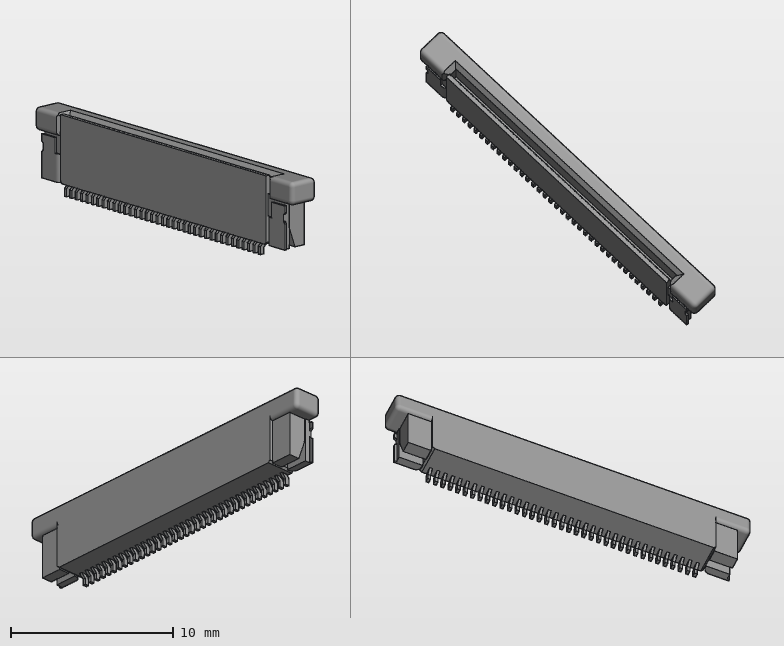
import cadquery as cq
import math


body_half_width = 9.55
body_height = 4.4
depth = 1.99
plate_thickness = 0.29
corner_nick = 0.15

cap_half_length = 11.96
cap_height = 1.45
cap_round = 0.29
cap_bottom = body_height - cap_height

slot_back = 0.85
slot_floor_depth = 1.72
floor_front = 0.6
mouth_chamfer = 0.35
mouth_back_chamfer = 0.29

wing_half_length = 11.1
wing_back = 1.77
wing_relief_run = 0.5
wing_relief_height = 1.39
rib_half_length = 11.15
rib_back = 0.5

tab_half_length = 11.3
tab_thickness = 0.15
tab_height = 2.82
tab_bend_height = 1.82
tab_bend_radius = 0.4
tab_relief_gap = 0.1
notch_depth = 0.15
notch_width = 0.72
notch_height = 2.03

contact_count = 37
contact_span = 18.0
contact_width = 0.2
contact_pitch = contact_span / (contact_count - 1)
tip_thickness = 0.07
tip_height = 0.25
pin_drop = 0.72
foot_front = -0.07
foot_back = 0.22
pin_root_front = 0.15
pin_root_back = 0.53

top_in_cap = cap_bottom + cap_round
bend_start = body_half_width + tab_bend_radius
slot_floor = body_height - slot_floor_depth


def block(x_range, y_range, z_range):
    """Box between the given limits on each axis."""
    low, high = zip(x_range, y_range, z_range)
    size = [b - a for a, b in zip(low, high)]
    return cq.Workplane("XY").box(*size, centered=False).translate(low)


def centered_block(half_length, y_range, z_range):
    return block((-half_length, half_length), y_range, z_range)


def side_prism(points, half_length):
    """Prism along X, symmetric about X = 0, from a profile of (y, z) points."""
    return cq.Workplane("YZ").polyline(points).close().extrude(half_length, both=True)


def both_ends(shape):
    """The shape together with its mirror image at the other end."""
    return shape.union(shape.mirror("YZ"))


def make_mouth():
    """Sloped entry of the slot: a funnel, the overlap of one trough along X and one along Y."""
    mouth_half_length = body_half_width + mouth_chamfer
    mouth_bottom = body_height - mouth_chamfer
    back_trough = side_prism(
        [
            (0, body_height),
            (slot_back + mouth_back_chamfer, body_height),
            (slot_back, body_height - mouth_back_chamfer),
            (slot_back, mouth_bottom),
            (0, mouth_bottom),
        ],
        mouth_half_length,
    )
    end_trough = (
        cq.Workplane("XZ")
        .polyline([
            (-mouth_half_length, body_height),
            (mouth_half_length, body_height),
            (body_half_width, mouth_bottom),
            (-body_half_width, mouth_bottom),
        ])
        .close()
        .extrude(-depth)
    )
    return back_trough.intersect(end_trough)


def make_front_bevel():
    """Bevel on the upright front edge of the cap, next to the front plate."""
    bevel = (
        cq.Workplane("XY", origin=(0, 0, cap_bottom))
        .polyline([
            (body_half_width, 0),
            (body_half_width + mouth_chamfer, 0),
            (body_half_width, mouth_chamfer),
        ])
        .close()
        .extrude(cap_height)
    )
    return both_ends(bevel)


def make_cap():
    cap = centered_block(cap_half_length, (0, depth), (cap_bottom, body_height)).edges().fillet(cap_round)
    return cap.cut(make_mouth()).cut(make_front_bevel())


def make_core():
    """Middle block; its front is the plate that closes the slot."""
    core = centered_block(body_half_width, (0, slot_back), (0, body_height))
    lower_back = centered_block(body_half_width, (0, depth), (0, top_in_cap))
    return core.union(lower_back)


def make_corner_nicks():
    """Small nicks through the underside, along the lower corners of the front plate."""
    nick = (
        cq.Workplane("XZ")
        .polyline([
            (body_half_width, 0),
            (body_half_width, corner_nick),
            (body_half_width - corner_nick, 0),
        ])
        .close()
        .extrude(-depth)
    )
    return both_ends(nick)


def make_slot():
    """Slot that narrows downwards along the sloped back of the front plate."""
    return side_prism(
        [
            (plate_thickness, body_height),
            (slot_back, body_height),
            (slot_back, slot_floor),
            (floor_front, slot_floor),
        ],
        body_half_width,
    )


def make_wings():
    """End wings with a slanted relief behind the front rib, and a corner cleared for the tab bend."""
    wings = centered_block(wing_half_length, (rib_back, wing_back), (0, top_in_cap))
    relief = side_prism(
        [(rib_back, 0), (rib_back + wing_relief_run, 0), (rib_back, wing_relief_height)],
        wing_half_length,
    )
    rib = centered_block(rib_half_length, (tab_thickness, rib_back), (0, top_in_cap))
    bend_corner = block((body_half_width, bend_start), (0, tab_bend_radius), (0, tab_bend_height))
    return wings.cut(relief).union(rib).cut(both_ends(bend_corner))


def make_tabs():
    """Flat tabs with a notch in the outer edge, curling back into the housing at the lower part."""
    notch_half = notch_width / 2
    tab = (
        cq.Workplane("XZ")
        .moveTo(bend_start, 0)
        .lineTo(tab_half_length, 0)
        .lineTo(tab_half_length, notch_height - notch_half)
        .lineTo(tab_half_length - notch_depth, notch_height - notch_half + notch_depth)
        .lineTo(tab_half_length - notch_depth, notch_height + notch_half - notch_depth)
        .lineTo(tab_half_length, notch_height + notch_half)
        .lineTo(tab_half_length, tab_height)
        .lineTo(bend_start + tab_relief_gap, tab_height)
        .lineTo(bend_start + tab_relief_gap, tab_bend_height)
        .lineTo(bend_start, tab_bend_height)
        .close()
        .extrude(-tab_thickness)
    )
    diagonal = tab_bend_radius * math.sqrt(0.5)
    bend = (
        cq.Workplane("XY")
        .moveTo(bend_start, tab_bend_radius)
        .lineTo(bend_start, 0)
        .threePointArc(
            (bend_start - diagonal, tab_bend_radius - diagonal),
            (body_half_width, tab_bend_radius),
        )
        .close()
        .extrude(tab_bend_height)
    )
    return both_ends(tab.union(bend))


def make_contacts():
    """Row of contacts: a small tip on the slot floor and a bent solder pin below."""
    tip = block(
        (-contact_width / 2, contact_width / 2),
        (floor_front, floor_front + tip_thickness),
        (slot_floor, slot_floor + tip_height),
    )
    pin = side_prism(
        [
            (pin_root_front, 0),
            (foot_front, foot_front - pin_root_front),
            (foot_front, -pin_drop),
            (foot_back, -pin_drop),
            (foot_back, foot_back - pin_root_back),
            (pin_root_back, 0),
        ],
        contact_width / 2,
    )
    contacts = cq.Workplane("XY")
    for index in range(contact_count):
        x = index * contact_pitch - contact_span / 2
        contacts = contacts.add(tip.translate((x, 0, 0))).add(pin.translate((x, 0, 0)))
    return contacts


housing = make_cap().union(make_core()).union(make_wings())
housing = housing.cut(make_slot()).cut(make_corner_nicks())
result = housing.union(make_tabs()).union(make_contacts())